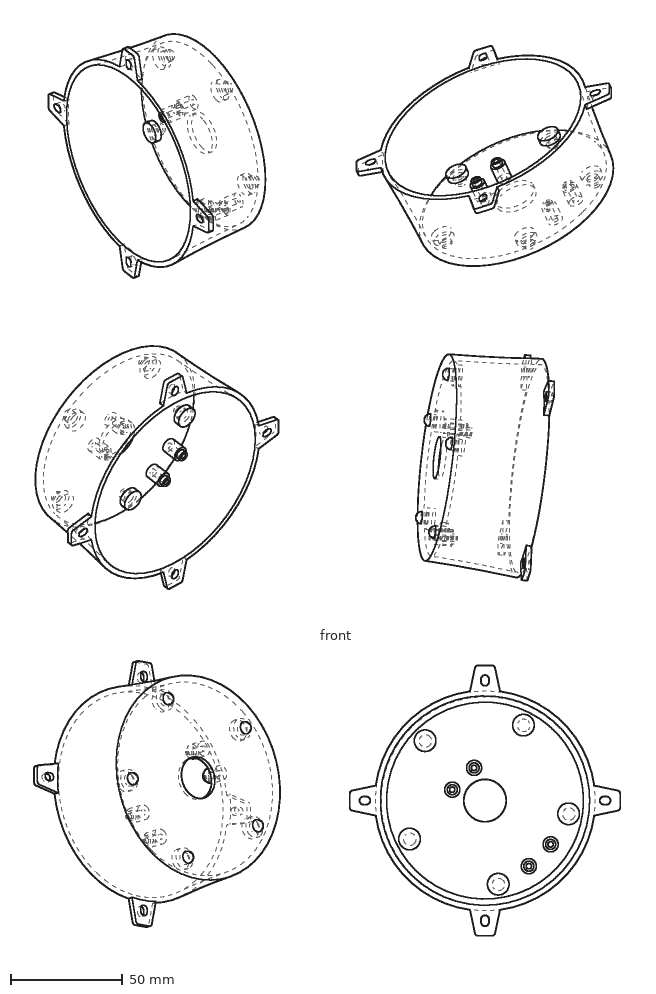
import cadquery as cq
import math


cup_depth = 42.0
rim_radius = 49.5
back_radius = 46.7
wall_sag = 0.4
wall_thickness = 2.5
floor_thickness = 2.4
centre_hole_diameter = 19.0
floor_inside_y = cup_depth - floor_thickness

tab_count = 4
tab_reach = 60.7
tab_thickness = 2.5
tab_tip_width = 8.6
tab_taper_angle = 12.0
tab_root_radius = 48.0
tab_corner_radius = 1.5
slot_width = 3.5
slot_length = 4.7
slot_radius = 53.9

post_pattern_angle = -45.0
post_pattern_offset = 10.5
post_pitch_long = 48.6
post_pitch_short = 13.8
post_diameter = 6.8
post_shoulder_height = 8.1
post_tip_diameter = 4.5
post_tip_height = 2.1
post_hole_diameter = 2.4
post_hole_depth = post_shoulder_height + post_tip_height

foot_count = 5
foot_circle_radius = 38.0
first_foot_angle = 135.0
foot_flange_diameter = 9.7
foot_flange_thickness = 3.0
foot_shank_diameter = 5.6
foot_dome_height = 2.5


def cylinder(x, z, start_y, end_y, diameter):
    """Cylinder along +Y between two Y positions."""
    base = cq.Workplane("XZ", origin=(x, start_y, z))
    return base.circle(diameter / 2).extrude(start_y - end_y)


def revolved_about_y(front_radius, end_radius, end_y):
    """Solid of revolution whose inward-bowed side runs from the rim plane to end_y."""
    middle = ((front_radius + end_radius) / 2 - wall_sag, end_y / 2)
    profile = (
        cq.Workplane("XY")
        .lineTo(front_radius, 0)
        .threePointArc(middle, (end_radius, end_y))
        .lineTo(0, end_y)
        .close()
    )
    return profile.revolve(360, (0, 0, 0), (0, 1, 0))


def cup_cavity():
    return revolved_about_y(rim_radius - wall_thickness, back_radius - wall_thickness, floor_inside_y)


def mounting_tab(angle):
    """Tapered tab with rounded tip corners and a radial slot."""
    tip_half = tab_tip_width / 2
    root_half = tip_half + (tab_reach - tab_root_radius) * math.tan(math.radians(tab_taper_angle))
    outline = [
        (tab_root_radius, -root_half),
        (tab_reach, -tip_half),
        (tab_reach, tip_half),
        (tab_root_radius, root_half),
    ]
    tab = cq.Workplane("XZ").polyline(outline).close().extrude(-tab_thickness)
    tab = tab.edges("|Y and >X").fillet(tab_corner_radius)
    slot = (
        cq.Workplane("XZ")
        .center(slot_radius, 0)
        .slot2D(slot_length, slot_width)
        .extrude(-tab_thickness)
    )
    return tab.cut(slot).rotate((0, 0, 0), (0, 1, 0), angle)


def post_positions():
    angle = math.radians(post_pattern_angle)
    positions = []
    for long_side in (-1, 1):
        for short_side in (-1, 1):
            along = post_pattern_offset + long_side * post_pitch_long / 2
            across = short_side * post_pitch_short / 2
            x = along * math.cos(angle) - across * math.sin(angle)
            z = along * math.sin(angle) + across * math.cos(angle)
            positions.append((x, z))
    return positions


def screw_post(x, z):
    """Stepped post standing on the floor, with a blind screw hole from its tip."""
    shoulder_y = floor_inside_y - post_shoulder_height
    tip_y = shoulder_y - post_tip_height
    post = cylinder(x, z, shoulder_y, floor_inside_y, post_diameter)
    post = post.union(cylinder(x, z, tip_y, shoulder_y, post_tip_diameter))
    return post.cut(cylinder(x, z, tip_y, tip_y + post_hole_depth, post_hole_diameter))


def foot_positions():
    positions = []
    for index in range(foot_count):
        angle = math.radians(first_foot_angle + index * 360 / foot_count)
        positions.append((foot_circle_radius * math.cos(angle), foot_circle_radius * math.sin(angle)))
    return positions


def make_foot(x, z):
    """Flange inside the cup, shank through the floor and a dome outside, turned as one piece."""
    shank_radius = foot_shank_diameter / 2
    dome_radius = (shank_radius**2 + foot_dome_height**2) / (2 * foot_dome_height)
    dome_centre_y = cup_depth + foot_dome_height - dome_radius
    half_angle = math.atan2(shank_radius, cup_depth - dome_centre_y) / 2
    dome_middle = (dome_radius * math.sin(half_angle), dome_centre_y + dome_radius * math.cos(half_angle))
    flange_y = floor_inside_y - foot_flange_thickness
    profile = (
        cq.Workplane("XY")
        .moveTo(0, flange_y)
        .lineTo(foot_flange_diameter / 2, flange_y)
        .lineTo(foot_flange_diameter / 2, floor_inside_y)
        .lineTo(shank_radius, floor_inside_y)
        .lineTo(shank_radius, cup_depth)
        .threePointArc(dome_middle, (0, cup_depth + foot_dome_height))
        .close()
    )
    return profile.revolve(360, (0, 0, 0), (0, 1, 0)).translate((x, 0, z))


def make_housing():
    housing = revolved_about_y(rim_radius, back_radius, cup_depth)
    for index in range(tab_count):
        housing = housing.union(mounting_tab(index * 360 / tab_count))
    housing = housing.cut(cup_cavity())
    housing = housing.cut(cylinder(0, 0, floor_inside_y, cup_depth, centre_hole_diameter))
    for x, z in post_positions():
        housing = housing.union(screw_post(x, z))
    for x, z in foot_positions():
        housing = housing.cut(cylinder(x, z, floor_inside_y, cup_depth, foot_shank_diameter))
    return housing


housing = make_housing()
feet = [make_foot(x, z) for x, z in foot_positions()]

result = cq.Compound.makeCompound([housing.val(), *[foot.val() for foot in feet]])